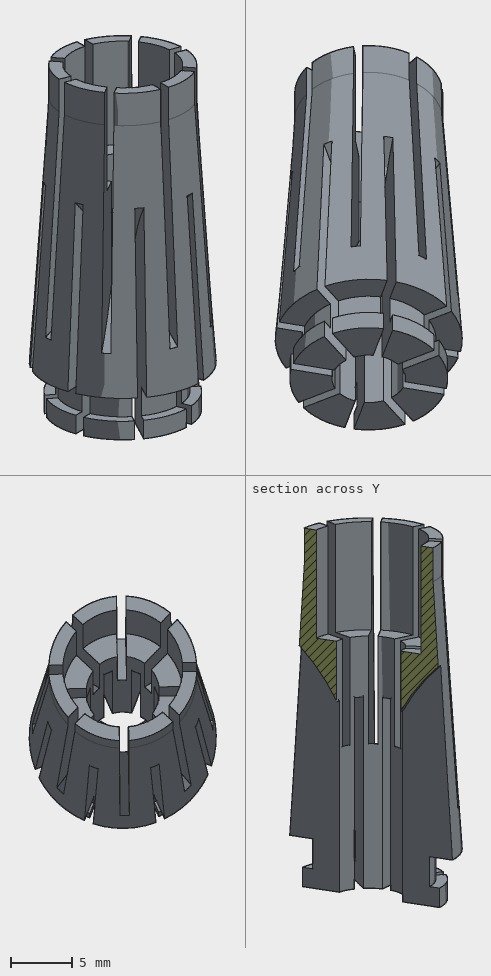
import cadquery as cq
import math

total_height = 30.5
top_radius = 6.05
shoulder_radius = 7.62
neck_radius = 5.5
flange_radius = 6.45

flange_top = 1.65
shoulder_level = 4.18
taper_top = 27.63
bore_step_level = 21.35

bore_radius = 3.0
socket_radius = 4.88

slot_count = 8
slot_width = 0.75
saw_radius = 16.78
lower_slot_top = 20.5
lower_slot_inner_top = 16.2
upper_slot_bottom = 8.0
upper_slot_inner_bottom = 12.25


def taper_radius_at(level):
    """Outside radius of the tapered body at a given level."""
    fraction = (level - shoulder_level) / (taper_top - shoulder_level)
    return shoulder_radius + fraction * (top_radius - shoulder_radius)


def make_body():
    """Turned collet: flange, neck, tapered body and plain top band, bored from both ends."""
    outline = [
        (bore_radius, 0),
        (flange_radius, 0),
        (flange_radius, flange_top),
        (neck_radius, flange_top),
        (neck_radius, shoulder_level),
        (shoulder_radius, shoulder_level),
        (top_radius, taper_top),
        (top_radius, total_height),
        (socket_radius, total_height),
        (socket_radius, bore_step_level),
        (bore_radius, bore_step_level),
    ]
    return cq.Workplane("XZ").polyline(outline).close().revolve(360, (0, 0, 0), (0, 1, 0))


def make_slot(open_level, outer_level, inner_level):
    """One radial slot along +X, open at open_level and closed by a saw arc.

    The arc runs from the bore at inner_level to the taper at outer_level.
    """
    inner = cq.Vector(bore_radius, inner_level)
    outer = cq.Vector(taper_radius_at(outer_level), outer_level)
    chord = outer - inner
    middle = (inner + outer) * 0.5
    sagitta = saw_radius - math.sqrt(saw_radius**2 - (chord.Length / 2) ** 2)
    side = math.copysign(1, outer_level - inner_level)
    bulge = cq.Vector(-chord.y, chord.x) * (side * sagitta / chord.Length)
    crest = middle + bulge
    clear_radius = shoulder_radius + slot_width
    profile = (
        cq.Workplane("XZ", origin=(0, slot_width / 2, 0))
        .moveTo(0, open_level)
        .lineTo(0, inner_level)
        .lineTo(inner.x, inner.y)
        .threePointArc((crest.x, crest.y), (outer.x, outer.y))
        .lineTo(clear_radius, outer_level)
        .lineTo(clear_radius, open_level)
        .close()
    )
    return profile.extrude(slot_width)


lower_slot = make_slot(0, lower_slot_top, lower_slot_inner_top)
upper_slot = make_slot(total_height, upper_slot_bottom, upper_slot_inner_bottom)

result = make_body()
slot_pitch = 360 / slot_count
for index in range(slot_count):
    lower_angle = index * slot_pitch
    upper_angle = lower_angle + slot_pitch / 2
    result = result.cut(lower_slot.rotate((0, 0, 0), (0, 0, 1), lower_angle))
    result = result.cut(upper_slot.rotate((0, 0, 0), (0, 0, 1), upper_angle))